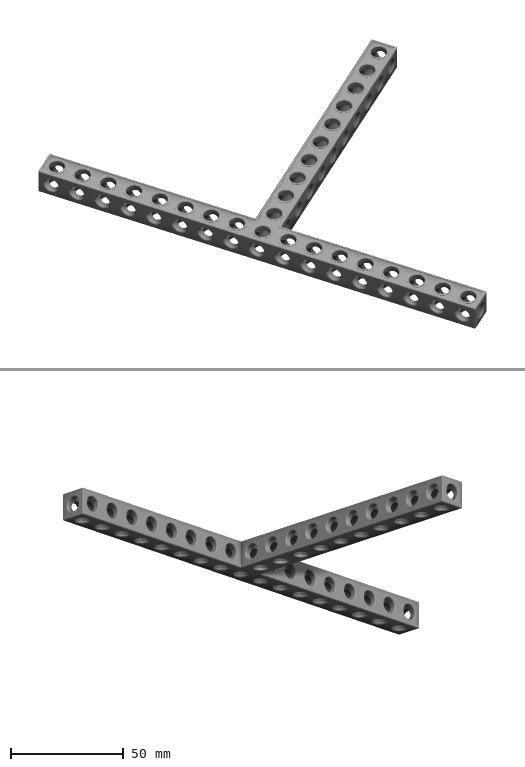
import cadquery as cq

PITCH = 12.5
BAR_CELLS = 17
STEM_CELLS = 10
HOLE_DIAMETER = 7.0
EDGE_SIZE = 0.3
RIM_WIDTH = 1.1
PANEL_DEPTH = 0.2

HALF_PITCH = PITCH / 2
HOLE_RADIUS = HOLE_DIAMETER / 2
RIM_DIAMETER = HOLE_DIAMETER + 2 * RIM_WIDTH
BAR_LENGTH = BAR_CELLS * PITCH
STEM_END = HALF_PITCH + STEM_CELLS * PITCH
BAR_POSITIONS = [(i - (BAR_CELLS - 1) / 2) * PITCH for i in range(BAR_CELLS)]
STEM_POSITIONS = [(i + 1) * PITCH for i in range(STEM_CELLS)]
CELL_CENTRES = [(x, 0) for x in BAR_POSITIONS] + [(0, y) for y in STEM_POSITIONS]


def tee_prism(bottom, height, inset=0.0):
    """T-shaped prism whose outline lies the given inset inside the beam sides."""
    half_bar = BAR_LENGTH / 2 - inset
    half_width = HALF_PITCH - inset
    stem_end = STEM_END - inset
    outline = [
        (-half_bar, -half_width),
        (half_bar, -half_width),
        (half_bar, half_width),
        (half_width, half_width),
        (half_width, stem_end),
        (-half_width, stem_end),
        (-half_width, half_width),
        (-half_bar, half_width),
    ]
    return cq.Workplane("XY").workplane(offset=bottom).polyline(outline).close().extrude(height)


def beams():
    """Crossbar and stem with rounded outer corners and chamfered top and bottom edges."""
    tee = tee_prism(-HALF_PITCH, PITCH)
    outer_corners = tee.edges("|Z").edges("<X or >X or >Y")
    body = outer_corners.fillet(EDGE_SIZE)
    return body.faces("<Z or >Z").edges().chamfer(EDGE_SIZE)


def top_panel():
    """Shallow recess of the top face, leaving a rim around the outline and each hole."""
    floor = HALF_PITCH - PANEL_DEPTH
    rims = (
        cq.Workplane("XY")
        .workplane(offset=floor)
        .pushPoints(CELL_CENTRES)
        .circle(RIM_DIAMETER / 2)
        .extrude(PANEL_DEPTH)
    )
    return tee_prism(floor, PANEL_DEPTH, RIM_WIDTH).cut(rims)


def chamfered_drill(start, direction, length):
    """Cutter for a through hole that is chamfered at both mouths."""
    start = cq.Vector(*start)
    direction = cq.Vector(*direction)
    end = start + direction * length
    mouth_radius = HOLE_RADIUS + EDGE_SIZE
    bore = cq.Solid.makeCylinder(HOLE_RADIUS, length, start, direction)
    near_mouth = cq.Solid.makeCone(mouth_radius, HOLE_RADIUS, EDGE_SIZE, start, direction)
    far_mouth = cq.Solid.makeCone(mouth_radius, HOLE_RADIUS, EDGE_SIZE, end, direction * -1)
    return bore.fuse(near_mouth, far_mouth)


def grid_drills():
    """Cutters through every cell along X, Y and Z."""
    drills = []
    for x, y in CELL_CENTRES:
        drills.append(chamfered_drill((x, y, -HALF_PITCH), (0, 0, 1), PITCH))
    for x in BAR_POSITIONS:
        far_side = STEM_END if x == 0 else HALF_PITCH
        drills.append(chamfered_drill((x, -HALF_PITCH, 0), (0, 1, 0), far_side + HALF_PITCH))
    for y in STEM_POSITIONS:
        drills.append(chamfered_drill((-HALF_PITCH, y, 0), (1, 0, 0), PITCH))
    drills.append(chamfered_drill((-BAR_LENGTH / 2, 0, 0), (1, 0, 0), BAR_LENGTH))
    return drills


result = beams().cut(top_panel())
for drill in grid_drills():
    result = result.cut(cq.Workplane(drill))